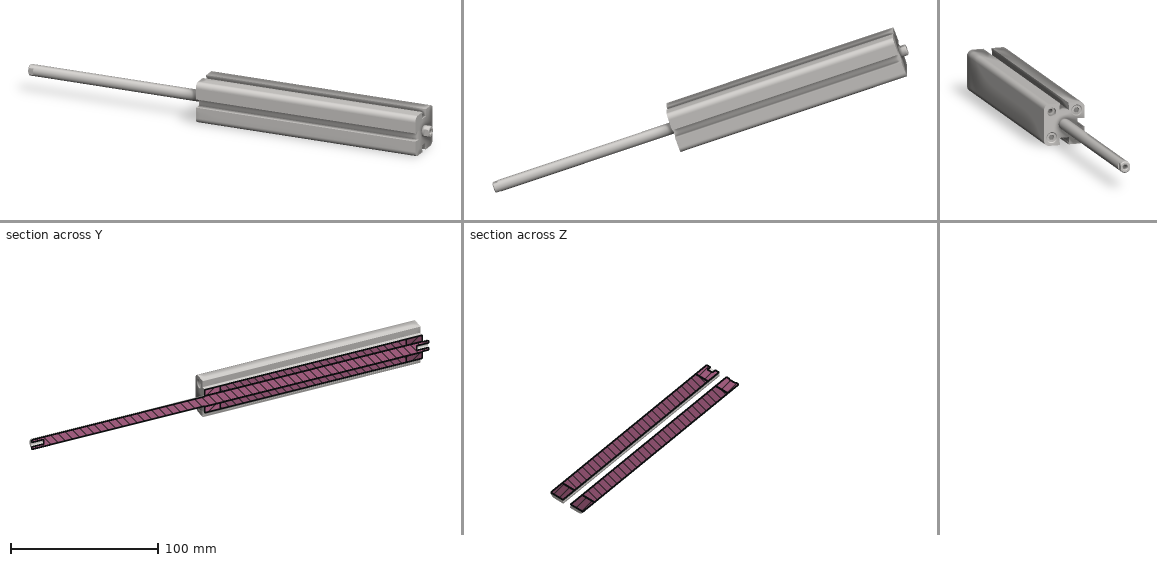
import cadquery as cq

total_length = 297.0
front_extension = 129.2
rear_extension = 5.0
cap_length = 12.0

section_size = 29.0
corner_radius = 4.0
slot_width = 6.5
slot_depth = 5.0
slot_angles = (0, 90, 180)
slot_mouth_width = 6.0
slot_lip_depth = 1.5

rod_diameter = 8.0
rod_chamfer = 0.5
flat_width = 6.5
flat_length = 4.0
end_hole_diameter = 3.3
end_hole_depth = 9.0
end_countersink = 0.45

hole_spacing = 17.8
mount_bore_diameter = 6.2
mount_bore_depth = 3.0
thread_diameter = 3.3

head_bore_diameter = 7.7
head_recess_bevel = 0.5
bevel_angle = 45
socket_width = 4.2
socket_sides = 6
socket_turn = 90
socket_depth = 2.5

body_front = front_extension
body_rear = total_length - rear_extension
barrel_front = body_front + cap_length
barrel_rear = body_rear - cap_length
hole_offset = hole_spacing / 2
mount_points = [(hole_offset, hole_offset), (-hole_offset, -hole_offset)]
head_points = [(-hole_offset, hole_offset), (hole_offset, -hole_offset)]


def section_plane(x):
    """Plane at x facing +X, with local axes along Y and Z."""
    return cq.Workplane("YZ", origin=(x, 0, 0))


def slot_cutter(x_start, length):
    """Prism of one slot, slightly undercut behind its lips and open toward +Z."""
    top = section_size / 2
    mouth = section_plane(x_start).center(0, top - slot_depth / 2)
    mouth = mouth.rect(slot_mouth_width, slot_depth).extrude(length)
    undercut_depth = slot_depth - slot_lip_depth
    undercut = section_plane(x_start).center(0, top - slot_depth + undercut_depth / 2)
    undercut = undercut.rect(slot_width, undercut_depth).extrude(length)
    return mouth.union(undercut)


def slotted_block(x_start, x_end):
    """Rounded square block with slots on +Z, -Y and -Z and a bore for the rod."""
    length = x_end - x_start
    block = section_plane(x_start).rect(section_size, section_size).extrude(length)
    block = block.edges("|X").fillet(corner_radius)
    for angle in slot_angles:
        block = block.cut(slot_cutter(x_start, length).rotate((0, 0, 0), (1, 0, 0), angle))
    bore = section_plane(x_start).circle(rod_diameter / 2).extrude(length)
    return block.cut(bore)


def make_front_cap():
    """Front cap with two counterbored threads and two recessed socket heads."""
    cap = slotted_block(body_front, barrel_front)
    face = section_plane(body_front)
    mounts = face.pushPoints(mount_points)
    cap = cap.cut(mounts.circle(mount_bore_diameter / 2).extrude(mount_bore_depth))
    cap = cap.cut(mounts.circle(thread_diameter / 2).extrude(cap_length))
    recesses = face.pushPoints(head_points).circle(head_bore_diameter / 2)
    cap = cap.cut(recesses.extrude(head_recess_bevel, taper=bevel_angle))
    head_face = section_plane(body_front + head_recess_bevel)
    hexagon = cq.Sketch().regularPolygon(socket_width / 2, socket_sides, socket_turn)
    return cap.cut(head_face.pushPoints(head_points).placeSketch(hexagon).extrude(socket_depth))


def make_barrel():
    """Plain slotted profile between the two caps."""
    return slotted_block(barrel_front, barrel_rear)


def make_rear_cap():
    """Rear cap with the same slotted profile as the barrel."""
    return slotted_block(barrel_rear, body_rear)


def make_rod():
    """Through rod with wrench flats and an end hole at both ends."""
    rod = section_plane(0).circle(rod_diameter / 2).extrude(total_length)
    rod = rod.faces("<X or >X").chamfer(rod_chamfer)
    flat_depth = (rod_diameter - flat_width) / 2
    flat_center = (flat_width + flat_depth) / 2
    for x_start in (0, total_length - flat_length):
        flats = section_plane(x_start).pushPoints([(flat_center, 0), (-flat_center, 0)])
        rod = rod.cut(flats.rect(flat_depth, rod_diameter).extrude(flat_length))
    for x_start in (0, total_length - end_hole_depth):
        rod = rod.cut(section_plane(x_start).circle(end_hole_diameter / 2).extrude(end_hole_depth))
    hole_rims = rod.faces("<X or >X").edges(cq.selectors.RadiusNthSelector(0))
    return hole_rims.chamfer(end_countersink)


front_cap = make_front_cap()
barrel = make_barrel()
rear_cap = make_rear_cap()
rod = make_rod()

result = cq.Compound.makeCompound([front_cap.val(), barrel.val(), rear_cap.val(), rod.val()])